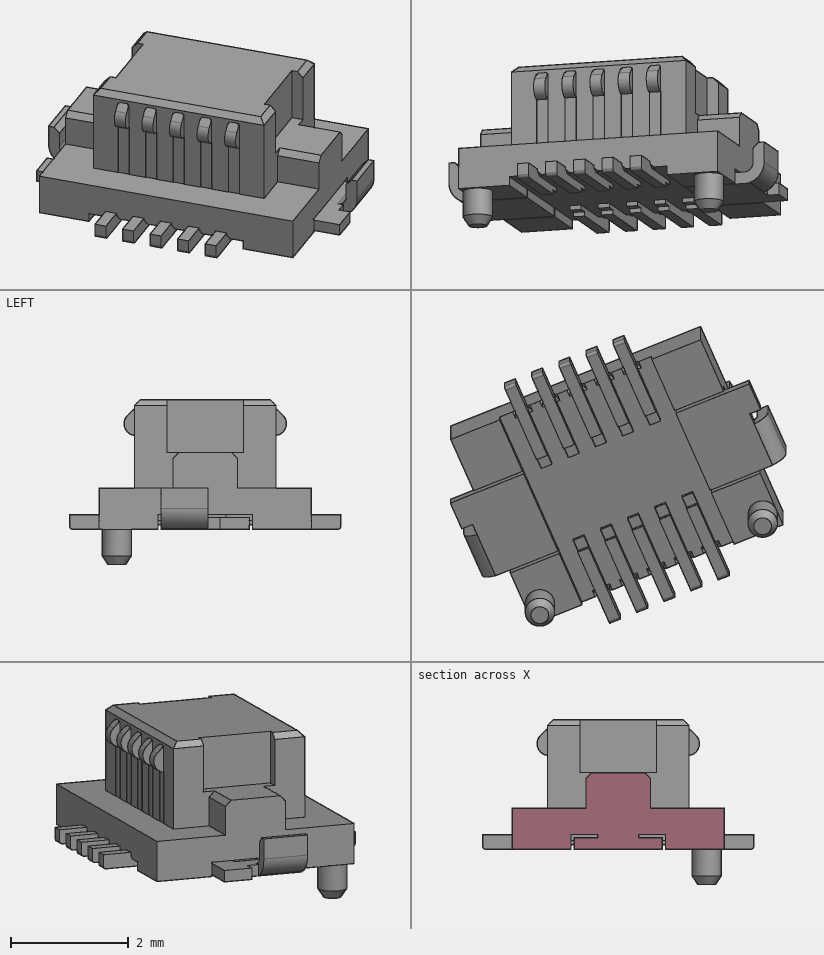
import cadquery as cq
import math


BASE_LENGTH = 4.6
BASE_WIDTH = 3.6
BASE_TOP = 0.7
PLUG_LENGTH = 3.1
PLUG_WIDTH = 2.4
PLUG_TOP = 2.2
PLUG_CHAMFER = 0.1
TAB_WIDTH = 1.1
TAB_TOP = 1.3
TAB_CHAMFER = 0.1
NOTCH_WIDTH = 1.3
NOTCH_DEPTH = 0.2
RELIEF_LENGTH = 2.8
RELIEF_HEIGHT = 0.15

PEG_DIAMETER = 0.5
PEG_LENGTH = 0.6
PEG_TIP_LENGTH = 0.15
PEG_TIP_INSET = 0.1
PEG_X = BASE_LENGTH / 2 - PEG_DIAMETER / 2
PEG_Y = 1.5

CONTACT_COUNT = 5
CONTACT_PITCH = 0.5
CONTACT_WIDTH = 0.2
LEAD_SPAN = 4.6
LEAD_HEIGHT = 0.25
LEAD_END_RADIUS = 0.05
LEAD_STEP_Y = 0.9
LEAD_INNER_Y = 0.7
LEAD_INNER_RISE = 0.075
LEAD_MOUTH_CHAMFER = 0.06
LEAD_MOUTH_DEPTH = 0.12
STRIP_RECESS = 0.01
BUMP_RADIUS = 0.2
BUMP_CENTER_INSET = 0.0225
BUMP_CENTER_Z = 1.79
BUMP_CORNER_CHAMFER = 0.03

BRACKET_THICKNESS = 0.2
BRACKET_WIDTH = 1.5
BRACKET_CLEARANCE = 0.05
PRONG_OUTER_X = 2.8
PRONG_TOP = 0.7
PRONG_WIDTH = 0.8
PRONG_CHAMFER = 0.1
PRONG_BEND_RADIUS = 0.35
FOOT_OUTER_X = 2.75
FOOT_WIDTH = 0.5
BRACKET_NECK_X = 2.55
ANCHOR_WIDTH = 0.7
ANCHOR_SETBACK = 0.1


def box(x_range, y_range, z_range):
    """Axis-aligned box spanning the given (low, high) ranges."""
    size = [high - low for low, high in (x_range, y_range, z_range)]
    corner = (x_range[0], y_range[0], z_range[0])
    return cq.Workplane("XY").box(*size, centered=False).translate(corner)


def centered(size):
    """Range of the given size centred on zero."""
    return (-size / 2, size / 2)


def mirrored_in_x(shape):
    return shape.union(shape.mirror("YZ"))


def mirrored_in_y(shape):
    return shape.union(shape.mirror("XZ"))


def make_housing():
    base = box(centered(BASE_LENGTH), centered(BASE_WIDTH), (0, BASE_TOP))
    plug = box(centered(PLUG_LENGTH), centered(PLUG_WIDTH), (0, PLUG_TOP))
    plug = plug.faces(">Z").edges().chamfer(PLUG_CHAMFER)

    notch_x = (PLUG_LENGTH / 2 - NOTCH_DEPTH, PLUG_LENGTH / 2)
    notch = box(notch_x, centered(NOTCH_WIDTH), (TAB_TOP, PLUG_TOP))
    plug = plug.cut(mirrored_in_x(notch))

    tabs = box(centered(BASE_LENGTH), centered(TAB_WIDTH), (0, TAB_TOP))
    tabs = tabs.faces(">Z").edges("|X").chamfer(TAB_CHAMFER)
    housing = base.union(plug).union(tabs)

    relief = box(centered(RELIEF_LENGTH), centered(BASE_WIDTH), (0, RELIEF_HEIGHT))

    slot_width = BRACKET_WIDTH + 2 * BRACKET_CLEARANCE
    slot_top = BRACKET_THICKNESS + BRACKET_CLEARANCE
    slot = box((RELIEF_LENGTH / 2, BASE_LENGTH / 2), centered(slot_width), (0, slot_top))
    return housing.cut(relief).cut(mirrored_in_x(slot))


def make_pegs():
    radius = PEG_DIAMETER / 2
    tip_radius = radius - PEG_TIP_INSET
    tip_start = PEG_TIP_LENGTH - PEG_LENGTH
    peg = (
        cq.Workplane("XZ")
        .moveTo(0, BASE_TOP / 2)
        .lineTo(radius, BASE_TOP / 2)
        .lineTo(radius, tip_start)
        .lineTo(tip_radius, -PEG_LENGTH)
        .lineTo(0, -PEG_LENGTH)
        .close()
        .revolve(360, (0, 0, 0), (0, 1, 0))
        .translate((PEG_X, PEG_Y, 0))
    )
    return mirrored_in_x(peg)


def contact_positions():
    first = -(CONTACT_COUNT - 1) / 2 * CONTACT_PITCH
    return [first + index * CONTACT_PITCH for index in range(CONTACT_COUNT)]


def make_lead_mouths(x):
    """Bevelled mouths in the relief roof around one opposed pair of leads."""
    half_width = CONTACT_WIDTH / 2
    mouth_half_width = half_width + LEAD_MOUTH_CHAMFER
    mouth = (
        cq.Workplane("XZ", origin=(x, BASE_WIDTH / 2, 0))
        .moveTo(-mouth_half_width, RELIEF_HEIGHT)
        .lineTo(mouth_half_width, RELIEF_HEIGHT)
        .lineTo(half_width, RELIEF_HEIGHT + LEAD_MOUTH_CHAMFER)
        .lineTo(-half_width, RELIEF_HEIGHT + LEAD_MOUTH_CHAMFER)
        .close()
        .extrude(LEAD_MOUTH_DEPTH)
    )

    wall_y = BASE_WIDTH / 2
    slope = (
        cq.Workplane("YZ", origin=(x - mouth_half_width, 0, 0))
        .moveTo(wall_y, RELIEF_HEIGHT)
        .lineTo(wall_y, RELIEF_HEIGHT + LEAD_MOUTH_CHAMFER)
        .lineTo(wall_y - LEAD_MOUTH_DEPTH, RELIEF_HEIGHT)
        .close()
        .extrude(2 * mouth_half_width)
    )
    return mirrored_in_y(mouth.intersect(slope))


def make_strip_grooves(x):
    """Shallow grooves in the plug sides that expose one pair of strips."""
    y_range = (PLUG_WIDTH / 2 - STRIP_RECESS, PLUG_WIDTH / 2)
    x_range = (x - CONTACT_WIDTH / 2, x + CONTACT_WIDTH / 2)
    return mirrored_in_y(box(x_range, y_range, (BASE_TOP, BUMP_CENTER_Z)))


def make_contacts(x):
    """One opposed pair of contacts: lead, flat strip and rounded bump."""
    x_range = (x - CONTACT_WIDTH / 2, x + CONTACT_WIDTH / 2)
    plug_face = PLUG_WIDTH / 2
    strip_face = plug_face - STRIP_RECESS

    lead = box(x_range, (LEAD_STEP_Y, LEAD_SPAN / 2), (0, LEAD_HEIGHT))
    lead = lead.edges(">Y and <Z").fillet(LEAD_END_RADIUS)
    lead_inner = box(x_range, (LEAD_INNER_Y, LEAD_STEP_Y), (LEAD_INNER_RISE, LEAD_HEIGHT))

    center_y = plug_face - BUMP_CENTER_INSET
    diagonal = BUMP_RADIUS * math.sin(math.radians(45))
    slope_start = (center_y + diagonal, BUMP_CENTER_Z + diagonal)
    slope_end = (plug_face, slope_start[1] + slope_start[0] - plug_face)
    bump_bottom = (center_y, BUMP_CENTER_Z - BUMP_RADIUS)
    bump = (
        cq.Workplane("YZ", origin=(x_range[0], 0, 0))
        .moveTo(*bump_bottom)
        .threePointArc((center_y + BUMP_RADIUS, BUMP_CENTER_Z), slope_start)
        .lineTo(*slope_end)
        .lineTo(center_y, slope_end[1])
        .close()
        .extrude(CONTACT_WIDTH)
        .edges("|Y and >Z")
        .chamfer(BUMP_CORNER_CHAMFER)
    )
    strip = box(x_range, (center_y, strip_face), (BASE_TOP, BUMP_CENTER_Z))
    return mirrored_in_y(lead.union(lead_inner).union(strip).union(bump))


def make_brackets():
    inner_x = RELIEF_LENGTH / 2
    y_low, y_high = centered(BRACKET_WIDTH)
    plate = box((inner_x, BRACKET_NECK_X), (y_low, y_high), (0, BRACKET_THICKNESS))
    foot = box((inner_x, FOOT_OUTER_X), (y_low, y_low + FOOT_WIDTH), (0, BRACKET_THICKNESS))

    prong_inner_x = PRONG_OUTER_X - BRACKET_THICKNESS
    bend_x = PRONG_OUTER_X - PRONG_BEND_RADIUS
    inner_bend_radius = PRONG_BEND_RADIUS - BRACKET_THICKNESS
    outer_mid = PRONG_BEND_RADIUS * math.sin(math.radians(45))
    inner_mid = inner_bend_radius * math.sin(math.radians(45))
    prong = (
        cq.Workplane("XZ", origin=(0, y_high, 0))
        .moveTo(inner_x, 0)
        .lineTo(bend_x, 0)
        .threePointArc(
            (bend_x + outer_mid, PRONG_BEND_RADIUS - outer_mid),
            (PRONG_OUTER_X, PRONG_BEND_RADIUS),
        )
        .lineTo(PRONG_OUTER_X, PRONG_TOP)
        .lineTo(prong_inner_x + PRONG_CHAMFER, PRONG_TOP)
        .lineTo(prong_inner_x, PRONG_TOP - PRONG_CHAMFER)
        .lineTo(prong_inner_x, PRONG_BEND_RADIUS)
        .threePointArc(
            (bend_x + inner_mid, PRONG_BEND_RADIUS - inner_mid),
            (bend_x, BRACKET_THICKNESS),
        )
        .lineTo(inner_x, BRACKET_THICKNESS)
        .close()
        .extrude(PRONG_WIDTH)
    )

    anchor_x = (inner_x, BASE_LENGTH / 2 - ANCHOR_SETBACK)
    anchor_z = (0, BRACKET_THICKNESS + BRACKET_CLEARANCE)
    anchor = box(anchor_x, centered(ANCHOR_WIDTH), anchor_z)
    return mirrored_in_x(plate.union(foot).union(prong).union(anchor))


housing = make_housing().union(make_pegs())
for contact_x in contact_positions():
    housing = housing.cut(make_lead_mouths(contact_x))
    housing = housing.cut(make_strip_grooves(contact_x))
    housing = housing.union(make_contacts(contact_x))

result = housing.union(make_brackets())